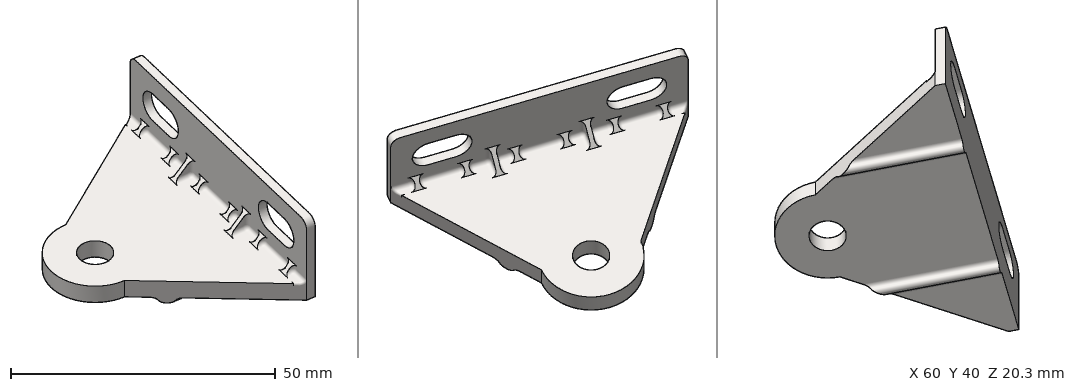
import cadquery as cq
import math

plate_width = 60.0
plate_thickness = 2.0
plate_rise = 15.0
plate_corner_radius = 2.0

base_thickness = 4.0
nose_radius = 10.0
nose_reach = 30.0
pivot_diameter = 7.0

slot_length = 12.0
slot_height = 6.5
slot_offset = 19.6
slot_center_height = 7.5

gusset_width = 3.0
gusset_web = gusset_width / 3
fillet_radius = (gusset_width - gusset_web) / 2
fillet_end_radius = 0.5
fillet_end_reach = 2 * fillet_radius
small_gusset_leg = 2.0
large_gusset_leg = 4.0
small_gusset_count = 6
small_gusset_pitch = plate_width / small_gusset_count
large_gusset_offset = 9.5

ridge_offset = 14.65
ridge_depth = 1.3
ridge_tip_diameter = 2.0
ridge_root_radius = 1.0

plate_front = -plate_thickness


def arm_outline(bottom_z):
    """Outline of the arm at height bottom_z, from the plate's back face to the round nose."""
    half = plate_width / 2
    return (
        cq.Workplane("XY", origin=(0, 0, bottom_z))
        .moveTo(-half, 0)
        .lineTo(-half, plate_front)
        .lineTo(-nose_radius, -nose_reach)
        .threePointArc((0, -nose_reach - nose_radius), (nose_radius, -nose_reach))
        .lineTo(half, plate_front)
        .lineTo(half, 0)
        .close()
    )


def make_plate():
    """Upright plate with rounded top corners."""
    height = plate_rise + base_thickness
    return (
        cq.Workplane("XY", origin=(0, plate_front, -base_thickness))
        .box(plate_width, plate_thickness, height, centered=(True, False, False))
        .edges("|Y and >Z")
        .fillet(plate_corner_radius)
    )


def make_gusset(x, leg):
    """Triangular rib whose sides flare into the plate and the base."""
    rib = (
        cq.Workplane("YZ", origin=(x - gusset_width / 2, 0, 0))
        .moveTo(plate_front, 0)
        .lineTo(plate_front - leg, 0)
        .lineTo(plate_front, leg)
        .close()
        .extrude(gusset_width)
    )
    size = 2 * leg
    block = cq.Workplane("XY").box(size, size, size).edges().fillet(fillet_radius)
    for side in (-1, 1):
        block_x = x + side * (gusset_web + size) / 2
        rib = rib.cut(block.translate((block_x, plate_front - size / 2, size / 2)))
    return rib


def make_ridge(x):
    """Round-tipped ridge, blended into the underside by concave arcs."""
    tip_radius = ridge_tip_diameter / 2
    tip_center = ridge_depth - tip_radius
    reach = tip_radius + ridge_root_radius
    drop = ridge_root_radius - tip_center
    root_x = math.sqrt(reach**2 - drop**2)
    join_x = root_x * tip_radius / reach
    join_depth = tip_center + drop * tip_radius / reach
    middle_angle = (math.pi / 2 + math.pi - math.atan2(drop, root_x)) / 2
    middle_x = root_x + ridge_root_radius * math.cos(middle_angle)
    middle_depth = ridge_root_radius * (1 - math.sin(middle_angle))
    return (
        cq.Workplane("XZ", origin=(x, 0, -base_thickness))
        .moveTo(-root_x, 0)
        .threePointArc((-middle_x, -middle_depth), (-join_x, -join_depth))
        .threePointArc((0, -ridge_depth), (join_x, -join_depth))
        .threePointArc((middle_x, -middle_depth), (root_x, 0))
        .close()
        .extrude(nose_reach)
    )


arm = arm_outline(-base_thickness).extrude(base_thickness)
body = make_plate().union(arm)
inside_corner = cq.selectors.NearestToPointSelector((0, plate_front, 0))
body = body.edges(inside_corner).fillet(fillet_radius)

for side in (-1, 1):
    end_point = (
        side * (plate_width - fillet_radius) / 2,
        plate_front - fillet_radius / 2,
        fillet_radius / 2,
    )
    fillet_end = cq.selectors.NearestToPointSelector(end_point)
    body = body.edges(fillet_end).fillet(fillet_end_radius)

arm_tip = -nose_reach - nose_radius
sharp_length = plate_front - fillet_end_reach - arm_tip
sharp_zone = cq.Workplane("XY", origin=(0, arm_tip, -base_thickness)).box(
    plate_width, sharp_length, base_thickness, centered=(True, False, False)
)
body = body.union(arm.intersect(sharp_zone))

for i in range(small_gusset_count):
    gusset_x = (i - (small_gusset_count - 1) / 2) * small_gusset_pitch
    body = body.union(make_gusset(gusset_x, small_gusset_leg))
for side in (-1, 1):
    body = body.union(make_gusset(side * large_gusset_offset, large_gusset_leg))

ridges = make_ridge(-ridge_offset).union(make_ridge(ridge_offset))
trim = arm_outline(-base_thickness - ridge_depth).extrude(ridge_depth)
body = body.union(ridges.intersect(trim))

slots = (
    cq.Workplane("XZ", origin=(0, 0, slot_center_height))
    .pushPoints([(-slot_offset, 0), (slot_offset, 0)])
    .slot2D(slot_length, slot_height)
    .extrude(plate_thickness)
)
pivot_hole = (
    cq.Workplane("XY", origin=(0, -nose_reach, -base_thickness))
    .circle(pivot_diameter / 2)
    .extrude(base_thickness)
)
result = body.cut(slots).cut(pivot_hole)